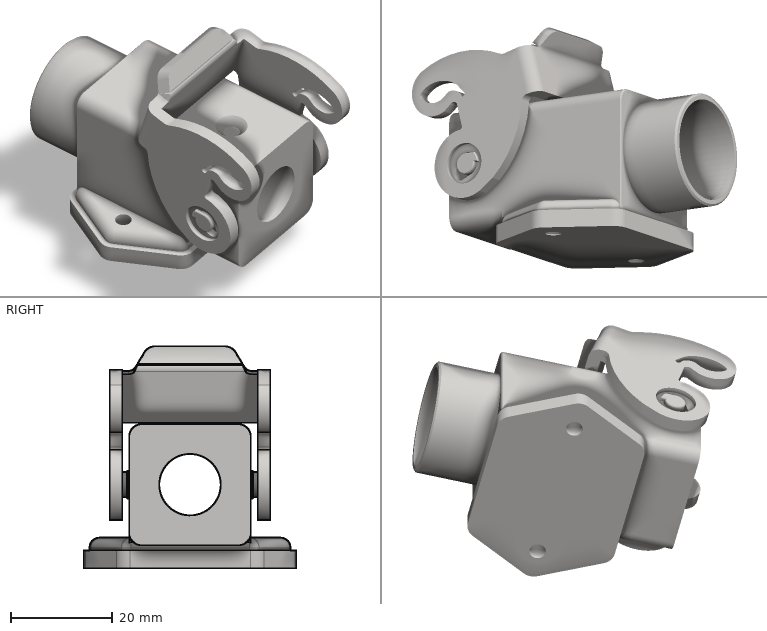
import cadquery as cq
import math


total_length = 59.25
total_height = 43.9
lever_tip_x = 32.8
tube_end_x = lever_tip_x - total_length

flange_half_length = 14.95
flange_apex_y = 21.4
flange_shoulder_y = 13.7
flange_height = 3.55
flange_corner_radius = 2.95
pad_inset = 1.1
pad_top = 6.1
pad_corner_radius = 2.1
pad_edge_radius = 2.0
screw_hole_diameter = 3.25
screw_hole_y = 14.95

body_left = -14.05
body_right = -tube_end_x
body_width = 24.05
body_top = 28.5
body_edge_radius = 2.5
body_front_chamfer = 0.25
pedestal_right = 13.5
overhang_left = 14.0
pedestal_top = 5.5
overhang_bottom = 4.55
dimple_x = 15.45
dimple_diameter = 6.35
dimple_floor_diameter = 3.3

axis_z = 16.55
tube_diameter = 22.4
tube_bore_diameter = 20.05
tube_bore_depth = 13.65
tube_rim_chamfer = 0.35
cable_hole_diameter = 12.1

lever_width = 31.75
sheet = 2.55
pivot_x = 20.45
pivot_lobe_radius = 7.0
tip_radius = 5.1
tip_z = 32.0
tip_start_angle = 57.0
tip_end_angle = 240.0
pivot_lobe_start_angle = 80.0
pivot_lobe_end_angle = -121.0
bridge_lean = 15.0
bridge_corner_x = 3.2
bridge_corner_z = 29.4
bridge_length = 9.95
shoulder_length = 5.05
bridge_bend_radius = 2.5
tab_lean = 30.0
tab_lead = 0.2
tab_inner_bend_radius = 0.85
tab_outer_bend_radius = 1.5
tab_foot_half_width = 12.2
tab_flare_height = 0.35
tab_root_half_width = 11.1
tab_side_slope = 0.5
tab_side_draft = 0.8
tab_corner_radius = 2.55

recess_diameter = 8.1
recess_depth = 1.0
pin_diameter = 5.05
pin_collar_diameter = 5.6
pin_collar_height = 0.5
pin_collar_chamfer = 0.25
pin_head_radius = 2.1
pin_head_height = 0.8
pin_head_chamfer = 0.2
lug_radius = 2.95
lug_bottom = 0.2
keyway_radius = 2.3
keyway_end_radius = 1.3
keyway_reach = 2.4
keyway_angle = -51.0


def polar(center, radius, degrees):
    """Point on a circle."""
    angle = math.radians(degrees)
    return (center[0] + radius * math.cos(angle), center[1] + radius * math.sin(angle))


def extrude_in_y(profile, y_min, y_max):
    """Extrude an XZ profile between two Y positions."""
    return profile.extrude(y_min - y_max).translate((0, y_min, 0))


def box_between(x_min, x_max, width, z_min, z_max):
    """Box centred on Y = 0."""
    box = cq.Workplane("XY").box(x_max - x_min, width, z_max - z_min, centered=(False, True, False))
    return box.translate((x_min, 0, z_min))


def hexagon(inset, height, corner_radius):
    """Elongated hexagonal prism, every side moved inwards by the inset."""
    slope = math.atan2(flange_apex_y - flange_shoulder_y, flange_half_length)
    half_length = flange_half_length - inset
    apex_y = flange_apex_y - inset / math.cos(slope)
    shoulder_y = apex_y - half_length * math.tan(slope)
    outline = [
        (half_length, shoulder_y),
        (0, apex_y),
        (-half_length, shoulder_y),
        (-half_length, -shoulder_y),
        (0, -apex_y),
        (half_length, -shoulder_y),
    ]
    prism = cq.Workplane("XY").polyline(outline).close().extrude(height)
    return prism.edges("|Z").fillet(corner_radius)


def make_base():
    flange = hexagon(0, flange_height, flange_corner_radius)
    pad = hexagon(pad_inset, pad_top, pad_corner_radius).faces(">Z").edges().fillet(pad_edge_radius)
    return flange.union(pad)


def drill_screw_holes(base):
    holes = (
        cq.Workplane("XY")
        .pushPoints([(0, screw_hole_y), (0, -screw_hole_y)])
        .circle(screw_hole_diameter / 2)
        .extrude(pad_top)
    )
    return base.cut(holes)


def make_body():
    pedestal = box_between(body_left, pedestal_right, body_width, 0, pedestal_top)
    front = box_between(body_left, overhang_left, body_width, pedestal_top, body_top)
    overhang = box_between(overhang_left, body_right, body_width, overhang_bottom, body_top)
    overhang = overhang.edges("|X and <Z").fillet(body_edge_radius)
    body = front.union(overhang)
    body = body.edges("|X and >Z").fillet(body_edge_radius).union(pedestal)
    body = body.faces("<X").edges("not(<Z)").chamfer(body_front_chamfer)
    dimple_depth = (dimple_diameter - dimple_floor_diameter) / 2
    dimple = (
        cq.Workplane("XY", origin=(dimple_x, 0, body_top))
        .circle(dimple_diameter / 2)
        .workplane(offset=-dimple_depth)
        .circle(dimple_floor_diameter / 2)
        .loft()
    )
    return body.cut(dimple)


def cylinder_in_x(diameter, x_min, x_max):
    """Cylinder on the cable axis."""
    return cq.Workplane("YZ", origin=(x_min, 0, axis_z)).circle(diameter / 2).extrude(x_max - x_min)


def add_cable_entry(housing):
    tube = cylinder_in_x(tube_diameter, tube_end_x, body_left + body_front_chamfer)
    tube = tube.faces("<X").edges().chamfer(tube_rim_chamfer)
    bore = cylinder_in_x(tube_bore_diameter, tube_end_x, tube_end_x + tube_bore_depth)
    hole = cylinder_in_x(cable_hole_diameter, tube_end_x, body_right)
    return housing.union(tube).cut(bore).cut(hole)


pivot = (pivot_x, axis_z)
lean = math.radians(bridge_lean)
tilt = math.radians(tab_lean)


def on_bridge(along, across):
    """XZ point at a distance along the leaning bridge and across its thickness."""
    x = bridge_corner_x + along * math.sin(lean) + across * math.cos(lean)
    z = bridge_corner_z + along * math.cos(lean) - across * math.sin(lean)
    return (x, z)


def make_cheek(y_min, y_max):
    """One side plate with its hooked tip and curved slot."""
    tip = (lever_tip_x - tip_radius, tip_z)
    lobe_start = polar(pivot, pivot_lobe_radius, pivot_lobe_start_angle)
    lobe_middle = polar(pivot, pivot_lobe_radius, (pivot_lobe_start_angle + pivot_lobe_end_angle) / 2)
    lobe_end = polar(pivot, pivot_lobe_radius, pivot_lobe_end_angle)
    outline = (
        cq.Workplane("XZ")
        .moveTo(*on_bridge(0, sheet))
        .lineTo(*on_bridge(bridge_length, sheet))
        .lineTo(*on_bridge(bridge_length, shoulder_length))
        .threePointArc((11.4, 37.6), (12.2, 37.75))
        .threePointArc((18.9, 39.25), polar(tip, tip_radius, tip_start_angle))
        .threePointArc(polar(tip, tip_radius, 0), polar(tip, tip_radius, tip_end_angle))
        .lineTo(23.7, 28.8)
        .threePointArc((22.95, 29.2), (22.15, 28.8))
        .lineTo(21.0, 24.05)
        .threePointArc((21.1, 23.65), lobe_start)
        .threePointArc(lobe_middle, lobe_end)
        .lineTo(13.75, 12.75)
        .threePointArc((9.0, 19.25), (6.8, 27.55))
        .threePointArc((6.5, 28.3), on_bridge(0, sheet))
        .close()
    )
    slot = (
        cq.Workplane("XZ")
        .moveTo(20.5, 30.95)
        .lineTo(22.15, 32.6)
        .threePointArc((25.85, 33.85), (29.85, 32.6))
        .lineTo(30.65, 31.8)
        .threePointArc((30.8, 31.35), (30.65, 30.9))
        .threePointArc((27.85, 29.6), (24.95, 30.75))
        .threePointArc((23.45, 31.6), (21.65, 30.75))
        .lineTo(21.3, 30.15)
        .threePointArc((20.55, 30.15), (20.5, 30.95))
        .close()
    )
    return extrude_in_y(outline, y_min, y_max).cut(extrude_in_y(slot, y_min, y_max))


def make_bridge():
    corners = [
        on_bridge(0, 0),
        on_bridge(bridge_length, 0),
        on_bridge(bridge_length, sheet),
        on_bridge(0, sheet),
    ]
    half_width = lever_width / 2
    bridge = extrude_in_y(cq.Workplane("XZ").polyline(corners).close(), -half_width, half_width)
    outer_face = cq.Vector(-math.cos(lean), 0, math.sin(lean))
    corner_edges = bridge.faces(cq.selectors.DirectionMinMaxSelector(outer_face)).edges("not(|Y)")
    return corner_edges.fillet(bridge_bend_radius)


def tab_bend(corner, radius):
    """Start, middle and end of the arc that rounds a corner between bridge and tab."""
    half_turn = (lean + tilt) / 2
    mean_lean = (lean - tilt) / 2
    tangent = radius * math.tan(half_turn)
    inset = radius / math.cos(half_turn) - radius
    start = (corner[0] - tangent * math.sin(lean), corner[1] - tangent * math.cos(lean))
    middle = (corner[0] - inset * math.cos(mean_lean), corner[1] + inset * math.sin(mean_lean))
    end = (corner[0] - tangent * math.sin(tilt), corner[1] + tangent * math.cos(tilt))
    return start, middle, end


def make_tab():
    """Finger tab, bent back from the top edge of the bridge and tapering to a rounded end."""
    miter = sheet * math.tan((lean + tilt) / 2)
    inner_corner = on_bridge(bridge_length + tab_lead, 0)
    outer_corner = on_bridge(bridge_length + tab_lead + miter, sheet)
    inner_start, inner_middle, inner_end = tab_bend(inner_corner, tab_inner_bend_radius)
    outer_start, outer_middle, outer_end = tab_bend(outer_corner, tab_outer_bend_radius)
    half_foot = tab_foot_half_width
    half_root = tab_root_half_width

    foot_section = (
        cq.Workplane("XZ")
        .moveTo(*on_bridge(bridge_length - sheet, 0))
        .lineTo(*inner_start)
        .threePointArc(inner_middle, inner_end)
        .lineTo(*outer_end)
        .threePointArc(outer_middle, outer_start)
        .lineTo(*on_bridge(bridge_length - sheet, sheet))
        .close()
    )
    foot = extrude_in_y(foot_section, -half_foot, half_foot)
    foot_top = on_bridge(bridge_length, 0)
    foot_plane = cq.Plane(
        origin=(foot_top[0], 0, foot_top[1]),
        xDir=(0, 1, 0),
        normal=(math.cos(lean), 0, -math.sin(lean)),
    )
    neck_height = sheet
    neck_half = half_root - (neck_height - tab_flare_height) * tab_side_slope
    half_flare = (
        cq.Workplane(foot_plane)
        .moveTo(0, -sheet)
        .lineTo(-half_foot - sheet, -sheet)
        .lineTo(-half_foot - sheet, 0)
        .lineTo(-half_foot, 0)
        .tangentArcPoint((-half_root, tab_flare_height), relative=False)
        .lineTo(-neck_half, neck_height)
        .lineTo(0, neck_height)
        .close()
        .extrude(2 * sheet, both=True)
    )
    flare = half_flare.union(half_flare.mirror("XZ"))
    foot = foot.intersect(flare)

    rise = total_height - sheet * math.sin(tilt) - inner_corner[1]
    inner_top = (inner_corner[0] - rise * math.tan(tilt), inner_corner[1] + rise)
    outer_top = (inner_top[0] + sheet * math.cos(tilt), total_height)
    straight_section = cq.Workplane("XZ").polyline([inner_end, inner_top, outer_top, outer_end]).close()
    straight = extrude_in_y(straight_section, -half_foot, half_foot)
    tab_plane = cq.Plane(
        origin=(inner_corner[0], 0, inner_corner[1]),
        xDir=(0, 1, 0),
        normal=(math.cos(tilt), 0, math.sin(tilt)),
    )
    tab_length = rise / math.cos(tilt)

    def taper(inset):
        """Corner points of the tab outline, each side moved in by the inset."""
        root = half_root - inset
        end = root - tab_length * tab_side_slope
        return [(-root, 0), (-end, tab_length), (end, tab_length), (root, 0)]

    blank = (
        cq.Workplane(tab_plane)
        .polyline(taper(0))
        .close()
        .workplane(offset=sheet)
        .polyline(taper(tab_side_draft))
        .close()
        .loft(ruled=True)
    )
    end_direction = cq.Vector(-math.sin(tilt), 0, math.cos(tilt))
    end_corners = blank.faces(cq.selectors.DirectionMinMaxSelector(end_direction)).edges("not(|Y)")
    return foot.union(straight.intersect(end_corners.fillet(tab_corner_radius)))


def pivot_disc(radius, y_min, y_max):
    return extrude_in_y(cq.Workplane("XZ").center(*pivot).circle(radius), y_min, y_max)


def make_keyway(y_min, y_max):
    """Round pin opening that widens into a smaller rounded lobe."""
    end = polar(pivot, keyway_reach, keyway_angle)
    spread = math.degrees(math.acos((keyway_radius - keyway_end_radius) / keyway_reach))
    upper = keyway_angle + spread
    lower = keyway_angle - spread
    outline = (
        cq.Workplane("XZ")
        .moveTo(*polar(pivot, keyway_radius, lower))
        .threePointArc(polar(pivot, keyway_radius, keyway_angle + 180), polar(pivot, keyway_radius, upper))
        .lineTo(*polar(end, keyway_end_radius, upper))
        .threePointArc(polar(end, keyway_end_radius, keyway_angle), polar(end, keyway_end_radius, lower))
        .close()
    )
    return extrude_in_y(outline, y_min, y_max)


def make_pin_head(y_min, y_max):
    """Round head with a lug to one side, flush with the top of the head."""
    lug_window = (
        cq.Workplane("XZ")
        .moveTo(pivot_x - lug_radius, axis_z + lug_bottom)
        .lineTo(pivot_x, axis_z + lug_bottom)
        .lineTo(pivot_x, axis_z + pin_head_radius)
        .lineTo(pivot_x - lug_radius, axis_z + pin_head_radius)
        .close()
    )
    lug = pivot_disc(lug_radius, y_min, y_max).intersect(extrude_in_y(lug_window, y_min, y_max))
    head = pivot_disc(pin_head_radius, y_min, y_max).union(lug)
    return head.faces("<Y").edges().chamfer(pin_head_chamfer)


def make_pivot_side():
    """Cheek, pin and pin head on the -Y side."""
    outer_y = -lever_width / 2
    inner_y = outer_y + sheet
    floor_y = outer_y + recess_depth
    body_y = -body_width / 2
    cheek = make_cheek(outer_y, inner_y)
    cheek = cheek.cut(pivot_disc(recess_diameter / 2, outer_y, floor_y))
    cheek = cheek.cut(make_keyway(floor_y, inner_y))
    head = make_pin_head(floor_y - pin_head_height, inner_y)
    pin = pivot_disc(pin_diameter / 2, inner_y, body_y)
    collar = pivot_disc(pin_collar_diameter / 2, body_y - pin_collar_height, body_y)
    collar = collar.faces("<Y").edges().chamfer(pin_collar_chamfer)
    return cheek.union(head).union(pin).union(collar)


housing = make_base().union(make_body())
housing = add_cable_entry(drill_screw_holes(housing))
near_side = make_pivot_side()
far_side = near_side.mirror("XZ")
result = housing.union(make_bridge()).union(make_tab()).union(near_side).union(far_side)